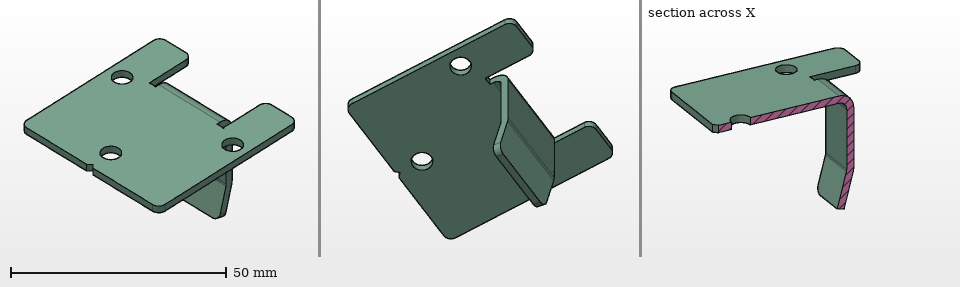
import cadquery as cq
import math

thickness = 2.0
plate_width = 45.0
plate_depth = 46.0
corner_radius = 2.0
rear_y = plate_depth / 2
front_y = -plate_depth / 2

cutout_width = 24.0
cutout_depth = 14.0

hole_diameter = 5.0
rear_hole_spacing = 36.0
rear_hole_setback = 17.0
front_hole_setback = 7.0

notch_width = 2.0
notch_depth = 1.0

tab_width = 20.0
tab_setback = 9.0
inner_bend_radius = 2.0
outer_bend_radius = inner_bend_radius + thickness
knee_drop = 20.0
tip_length = 10.0
tip_angle = math.radians(15)


def make_plate():
    """Flat plate with its top face at z = 0, rear cutout, holes and notch."""
    plate = cq.Workplane("XY").box(plate_width, plate_depth, thickness, centered=(True, True, False))
    cutout = (
        cq.Workplane("XY")
        .center(0, rear_y - cutout_depth / 2)
        .rect(cutout_width, cutout_depth)
        .extrude(thickness)
    )
    plate = plate.cut(cutout)
    plate = plate.edges("|Z and (<Y or >Y)").fillet(corner_radius)

    hole_points = [
        (-rear_hole_spacing / 2, rear_y - rear_hole_setback),
        (rear_hole_spacing / 2, rear_y - rear_hole_setback),
        (0, front_y + front_hole_setback),
    ]
    holes = cq.Workplane("XY").pushPoints(hole_points).circle(hole_diameter / 2).extrude(thickness)
    notch = (
        cq.Workplane("XY")
        .moveTo(-notch_width / 2, front_y)
        .lineTo(0, front_y + notch_depth)
        .lineTo(notch_width / 2, front_y)
        .close()
        .extrude(thickness)
    )
    return plate.cut(holes).cut(notch).translate((0, 0, -thickness))


def make_tab():
    """Tab bent down from the plate, then kinked forward at the knee."""
    root_y = rear_y - cutout_depth
    bend_y = rear_y - tab_setback - outer_bend_radius
    upper_bend_z = -outer_bend_radius
    knee_tangent = outer_bend_radius * math.tan(tip_angle / 2)
    knee_z = -knee_drop + knee_tangent
    straight_tip = tip_length - knee_tangent

    def upper_bend_point(radius, angle):
        return (bend_y + radius * math.cos(angle), upper_bend_z + radius * math.sin(angle))

    def knee_point(radius, angle):
        return (bend_y + radius * math.cos(angle), knee_z - radius * math.sin(angle))

    def tip_point(radius):
        y, z = knee_point(radius, tip_angle)
        return (y - straight_tip * math.sin(tip_angle), z - straight_tip * math.cos(tip_angle))

    quarter = math.pi / 2
    tab = (
        cq.Workplane("YZ")
        .moveTo(root_y, 0)
        .lineTo(*upper_bend_point(outer_bend_radius, quarter))
        .threePointArc(
            upper_bend_point(outer_bend_radius, quarter / 2),
            upper_bend_point(outer_bend_radius, 0),
        )
        .lineTo(*knee_point(outer_bend_radius, 0))
        .threePointArc(
            knee_point(outer_bend_radius, tip_angle / 2),
            knee_point(outer_bend_radius, tip_angle),
        )
        .lineTo(*tip_point(outer_bend_radius))
        .lineTo(*tip_point(inner_bend_radius))
        .lineTo(*knee_point(inner_bend_radius, tip_angle))
        .threePointArc(
            knee_point(inner_bend_radius, tip_angle / 2),
            knee_point(inner_bend_radius, 0),
        )
        .lineTo(*upper_bend_point(inner_bend_radius, 0))
        .threePointArc(
            upper_bend_point(inner_bend_radius, quarter / 2),
            upper_bend_point(inner_bend_radius, quarter),
        )
        .lineTo(root_y, -thickness)
        .close()
        .extrude(tab_width / 2, both=True)
    )
    through_tip = cq.Vector(0, math.cos(tip_angle), -math.sin(tip_angle))
    return tab.edges(cq.selectors.ParallelDirSelector(through_tip)).fillet(corner_radius)


result = make_plate().union(make_tab())